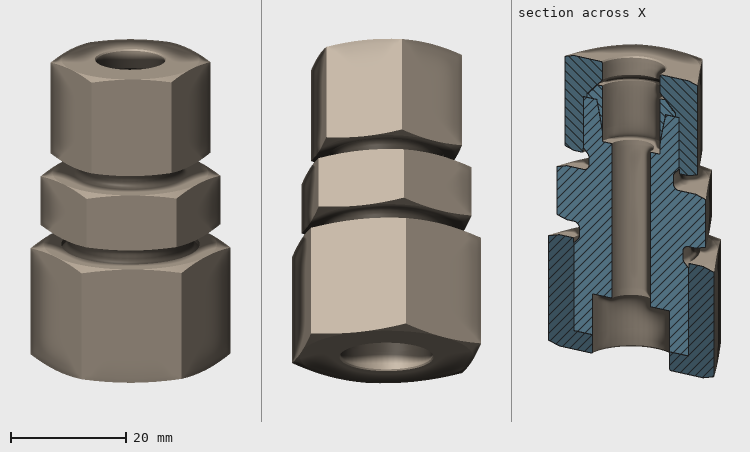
import cadquery as cq
import math

OVERALL_LENGTH = 54.0
THROUGH_BORE_DIA = 8.0
CORNER_CHAMFER_ANGLE = 16.0

UPPER_NUT_FLATS = 24.0
BODY_FLATS = 27.0
LOWER_NUT_FLATS = 30.0

UPPER_NUT_HEIGHT = 17.5
LOWER_NUT_HEIGHT = 20.5
BODY_HEX_BOTTOM = 23.5
BODY_HEX_TOP = 33.5

UPPER_PIPE_DIA = 12.0
LOWER_PIPE_DIA = 16.0
UPPER_THREAD_DIA = 20.0
LOWER_THREAD_DIA = 24.0
UPPER_NECK_DIA = 17.7
LOWER_NECK_DIA = 21.7
NECK_FILLET = 1.0
NECK_LENGTH = 1.3

RIM_CHAMFER = 0.15
RIM_CHAMFER_DEPTH = 0.25
NUT_LIP = 3.4

RING_BACK_DEPTH = 4.45
RING_OUTER_DIA = 18.35
RING_COLLAR = 0.55
RING_SEAT_DIA = 14.3
RING_TAPER = 12.0
SOCKET_DEPTH = 7.5

upper_nut_bottom = OVERALL_LENGTH - UPPER_NUT_HEIGHT
upper_lip_z = OVERALL_LENGTH - NUT_LIP
ring_back_z = OVERALL_LENGTH - RING_BACK_DEPTH

cone_end_z = upper_lip_z - (RING_OUTER_DIA - UPPER_PIPE_DIA) / 2
ring_back_dia = UPPER_PIPE_DIA + 2 * (RING_BACK_DEPTH - NUT_LIP)
body_top = cone_end_z - RING_COLLAR
body_bottom = NUT_LIP
taper_length = (RING_SEAT_DIA - UPPER_PIPE_DIA) / 2 / math.tan(math.radians(RING_TAPER))


def revolve_outline(points):
    """Solid of revolution about Z from (diameter, z) points."""
    outline = [(diameter / 2, z) for diameter, z in points]
    return cq.Workplane("XZ").polyline(outline).close().revolve(360, (0, 0, 0), (0, 1, 0))


def cylinder(diameter, bottom, top):
    return cq.Workplane("XY").workplane(offset=bottom).circle(diameter / 2).extrude(top - bottom)


def chamfered_hexagon(flats, bottom, top):
    """Hexagonal prism with both ends turned to a circle that touches the flats."""
    corners = flats / math.cos(math.radians(30))
    drop = (corners - flats) / 2 * math.tan(math.radians(CORNER_CHAMFER_ANGLE))
    prism = (
        cq.Workplane("XY").workplane(offset=bottom)
        .transformed(rotate=(0, 0, 90))
        .polygon(6, corners)
        .extrude(top - bottom)
    )
    turned = revolve_outline([
        (0, bottom), (flats, bottom), (corners, bottom + drop),
        (corners, top - drop), (flats, top), (0, top),
    ])
    return prism.intersect(turned)


def make_upper_nut():
    blank = chamfered_hexagon(UPPER_NUT_FLATS, upper_nut_bottom, OVERALL_LENGTH)
    cavity = revolve_outline([
        (0, OVERALL_LENGTH),
        (UPPER_PIPE_DIA + 2 * RIM_CHAMFER, OVERALL_LENGTH),
        (UPPER_PIPE_DIA, OVERALL_LENGTH - RIM_CHAMFER_DEPTH),
        (UPPER_PIPE_DIA, upper_lip_z),
        (RING_OUTER_DIA, cone_end_z),
        (RING_OUTER_DIA, body_top),
        (UPPER_THREAD_DIA, body_top),
        (UPPER_THREAD_DIA, upper_nut_bottom),
        (0, upper_nut_bottom),
    ])
    return blank.cut(cavity)


def make_lower_nut():
    blank = chamfered_hexagon(LOWER_NUT_FLATS, 0, LOWER_NUT_HEIGHT)
    cavity = revolve_outline([
        (0, 0),
        (LOWER_PIPE_DIA + 2 * RIM_CHAMFER, 0),
        (LOWER_PIPE_DIA, RIM_CHAMFER_DEPTH),
        (LOWER_PIPE_DIA, body_bottom),
        (LOWER_THREAD_DIA, body_bottom),
        (LOWER_THREAD_DIA, LOWER_NUT_HEIGHT),
        (0, LOWER_NUT_HEIGHT),
    ])
    return blank.cut(cavity)


def make_ring():
    return revolve_outline([
        (UPPER_PIPE_DIA, ring_back_z),
        (ring_back_dia, ring_back_z),
        (RING_OUTER_DIA, cone_end_z),
        (RING_OUTER_DIA, body_top),
        (RING_SEAT_DIA, body_top),
        (UPPER_PIPE_DIA, body_top - taper_length),
    ])


def make_spigot(thread_dia, neck_dia, hex_face, end):
    """Threaded end of the body with its round-cornered relief groove beside the hexagon."""
    away = math.copysign(1, end - hex_face)
    neck = neck_dia / 2
    thread = thread_dia / 2

    def arc_point(foot_z, direction, turn):
        """Point on a corner arc that has turned by the given angle from the neck's wall."""
        return (
            neck + NECK_FILLET * (1 - math.cos(math.radians(turn))),
            foot_z + direction * NECK_FILLET * math.sin(math.radians(turn)),
        )

    neck_start = hex_face + away * NECK_FILLET
    neck_end = neck_start + away * NECK_LENGTH
    flare = arc_point(neck_end, away, 45)
    thread_start = flare[1] + away * (thread - flare[0])
    return (
        cq.Workplane("XZ")
        .moveTo(0, hex_face)
        .lineTo(*arc_point(neck_start, -away, 90))
        .threePointArc(arc_point(neck_start, -away, 45), (neck, neck_start))
        .lineTo(neck, neck_end)
        .threePointArc(arc_point(neck_end, away, 22.5), flare)
        .lineTo(thread, thread_start)
        .lineTo(thread, end)
        .lineTo(0, end)
        .close()
        .revolve(360, (0, 0, 0), (0, 1, 0))
    )


def make_body():
    blank = (
        chamfered_hexagon(BODY_FLATS, BODY_HEX_BOTTOM, BODY_HEX_TOP)
        .union(make_spigot(UPPER_THREAD_DIA, UPPER_NECK_DIA, BODY_HEX_TOP, body_top))
        .union(make_spigot(LOWER_THREAD_DIA, LOWER_NECK_DIA, BODY_HEX_BOTTOM, body_bottom))
    )
    upper_socket = revolve_outline([
        (0, body_top),
        (RING_SEAT_DIA, body_top),
        (UPPER_PIPE_DIA, body_top - taper_length),
        (UPPER_PIPE_DIA, body_top - SOCKET_DEPTH),
        (0, body_top - SOCKET_DEPTH),
    ])
    lower_socket = cylinder(LOWER_PIPE_DIA, body_bottom, body_bottom + SOCKET_DEPTH)
    through_bore = cylinder(THROUGH_BORE_DIA, body_bottom, body_top)
    return blank.cut(upper_socket).cut(lower_socket).cut(through_bore)


body = make_body()
upper_nut = make_upper_nut()
lower_nut = make_lower_nut()
ring = make_ring()

result = cq.Compound.makeCompound([body.val(), upper_nut.val(), lower_nut.val(), ring.val()])